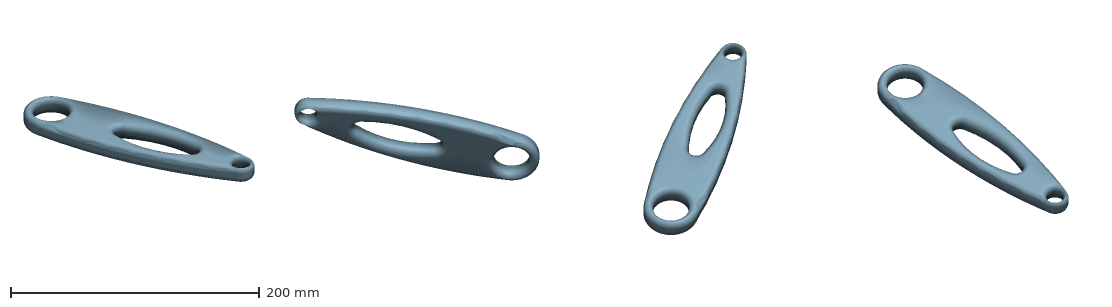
import cadquery as cq
import math

length = 204.5
thickness = 15.0
edge_radius = 5.0
slot_edge_radius = 6.0

large_eye_radius = 22.3
large_hole_radius = 14.5
small_eye_radius = 11.0
small_hole_radius = 7.0
large_eye = (0.0, 0.0)
small_eye = (length - large_eye_radius - small_eye_radius, 0.0)
side_radius = 443.8

slot_end_radius = 6.0
slot_left = (64.5, -1.6)
slot_right = (126.5, -0.6)
slot_upper_radius = 108.4
slot_lower_radius = 87.5

blank_margin = 20.5


def side_points(left, left_radius, right, right_radius, arc_radius, side):
    """Start, middle and end of an arc tangent to both end circles (side: 1 upper, -1 lower)."""
    dx = right[0] - left[0]
    dy = right[1] - left[1]
    span = math.hypot(dx, dy)
    left_reach = arc_radius - left_radius
    right_reach = arc_radius - right_radius
    along = (span**2 + left_reach**2 - right_reach**2) / (2 * span)
    across = -side * math.sqrt(left_reach**2 - along**2)
    centre_x = left[0] + (along * dx - across * dy) / span
    centre_y = left[1] + (along * dy + across * dx) / span
    start_angle = math.atan2(left[1] - centre_y, left[0] - centre_x)
    end_angle = math.atan2(right[1] - centre_y, right[0] - centre_x)
    angles = (start_angle, (start_angle + end_angle) / 2, end_angle)
    return [
        (centre_x + arc_radius * math.cos(angle), centre_y + arc_radius * math.sin(angle))
        for angle in angles
    ]


def rounded_lens(left, left_radius, right, right_radius, upper_radius, lower_radius):
    """Solid whose outline is two round ends joined by tangent bowed sides."""
    upper = side_points(left, left_radius, right, right_radius, upper_radius, 1)
    lower = side_points(left, left_radius, right, right_radius, lower_radius, -1)
    axis_angle = math.atan2(right[1] - left[1], right[0] - left[0])
    end_x = math.cos(axis_angle)
    end_y = math.sin(axis_angle)
    right_tip = (right[0] + right_radius * end_x, right[1] + right_radius * end_y)
    left_tip = (left[0] - left_radius * end_x, left[1] - left_radius * end_y)
    return (
        cq.Workplane("XY")
        .moveTo(*upper[0])
        .threePointArc(upper[1], upper[2])
        .threePointArc(right_tip, lower[2])
        .threePointArc(lower[1], lower[0])
        .threePointArc(left_tip, upper[0])
        .close()
        .extrude(thickness / 2, both=True)
    )


def round_hole(centre, radius):
    return cq.Workplane("XY").center(*centre).circle(radius).extrude(thickness / 2, both=True)


def rounded_opening(opening, rim_radius):
    """Blank plate pierced by one opening whose rims are rounded on both faces."""
    blank = cq.Workplane("XY").box(
        length + 2 * blank_margin, length / 2, thickness
    ).translate((length / 2 - large_eye_radius, 0, 0))
    rims = cq.selectors.BoxSelector(
        (-large_eye_radius, -large_eye_radius, -thickness),
        (length - large_eye_radius, large_eye_radius, thickness),
    )
    return blank.cut(opening).faces("|Z").edges(rims).fillet(rim_radius)


link = rounded_lens(
    large_eye, large_eye_radius, small_eye, small_eye_radius, side_radius, side_radius
).faces("|Z").edges().fillet(edge_radius)

slot = rounded_lens(
    slot_left, slot_end_radius, slot_right, slot_end_radius, slot_upper_radius, slot_lower_radius
)
openings = (
    (round_hole(large_eye, large_hole_radius), edge_radius),
    (round_hole(small_eye, small_hole_radius), edge_radius),
    (slot, slot_edge_radius),
)

for opening, rim_radius in openings:
    link = link.intersect(rounded_opening(opening, rim_radius))

result = link